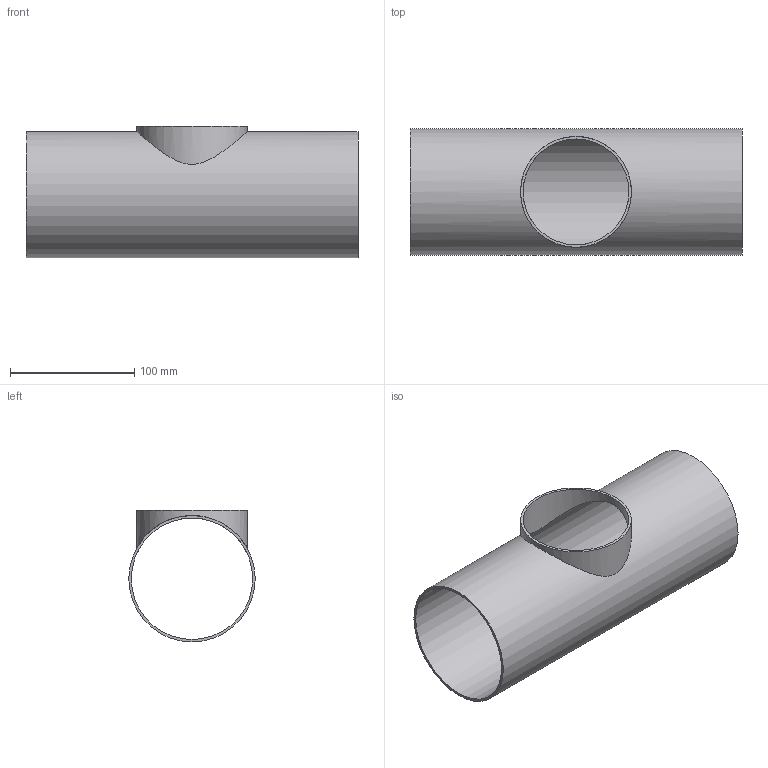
import cadquery as cq

wall = 2.0
run_length = 266.8
run_outer_diameter = 101.6
branch_outer_diameter = 89.1
overall_height = 106.0

run_bore_diameter = run_outer_diameter - 2 * wall
branch_bore_diameter = branch_outer_diameter - 2 * wall
branch_top = overall_height - run_outer_diameter / 2


def run_cylinder(diameter):
    """Full-length cylinder along X, centred on the origin."""
    return cq.Workplane("YZ").circle(diameter / 2).extrude(run_length / 2, both=True)


def branch_cylinder(diameter):
    """Cylinder along Z, from the run axis up to the branch mouth."""
    return cq.Workplane("XY").circle(diameter / 2).extrude(branch_top)


outer_body = run_cylinder(run_outer_diameter).union(branch_cylinder(branch_outer_diameter))
result = outer_body.cut(run_cylinder(run_bore_diameter)).cut(branch_cylinder(branch_bore_diameter))